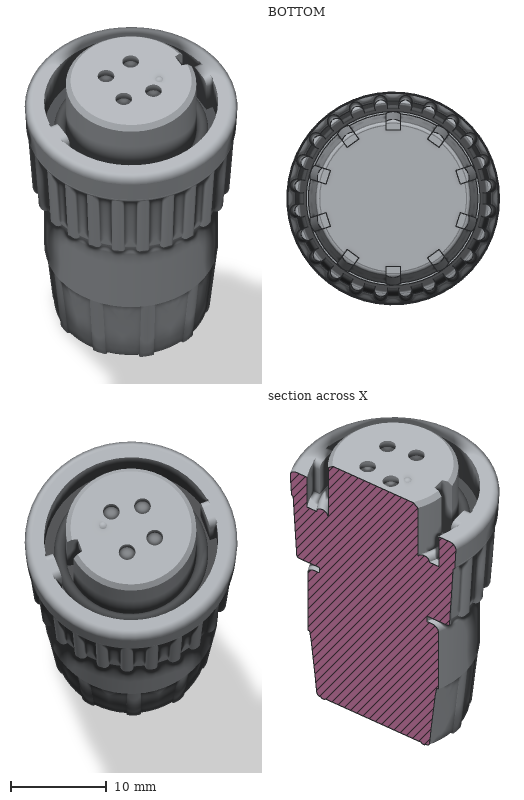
import cadquery as cq
import math


overall_height = 33.88
insert_top_z = 33.73
collar_top_z = 30.53
collar_bottom_z = 26.65
bore_floor_z = 26.3
knob_bottom_z = 18.44
body_top_z = 17.74
body_bottom_z = 8.8
grip_bottom_z = 0.15

body_radius = 9.08
body_edge_radius = 0.8
neck_radius = 7.79

grip_top_radius = 8.86
grip_bottom_radius = 8.03
grip_edge_radius = 0.4
grip_rib_count = 10
grip_rib_start_angle = -90
grip_rib_height = 0.2
grip_rib_width = 1.5
grip_rib_depth = 1.1
grip_rib_round = 1.55

collar_radius = 11.11
collar_lower_radius = 10.98
collar_top_round = 0.8
collar_under_round = 0.6
skirt_top_radius = 10.22
skirt_bottom_radius = 9.77
skirt_edge_radius = 0.4
knob_rib_count = 24
knob_rib_pitch = 360 / knob_rib_count
knob_rib_top_height = 0.65
knob_rib_bottom_height = 0.57
knob_rib_round = 0.69

bore_radius = 9.09
key_width = 2.9
key_inner_distance = 8.23
key_outer_distance = 9.07
key_round = 0.75

insert_radius = 6.82
insert_chamfer = 0.5
notch_outer_width = 2.0
notch_inner_width = 1.4
notch_floor_distance = 5.68
ring_outer_radius = 8.06
ring_round = (ring_outer_radius - insert_radius) / 2
contact_radius = 0.87
contact_depth = 0.85
upper_contact_x = 2.4
upper_contact_y = 1.32
lower_contact_x = 1.87
lower_contact_y = -1.95
marker_x = 1.26
marker_y = 2.66
marker_radius = 0.4


def cylinder(radius, bottom_z, top_z):
    return cq.Workplane("XY").workplane(offset=bottom_z).circle(radius).extrude(top_z - bottom_z)


def tapered_plug(bottom_radius, top_radius, bottom_z, top_z, edge_radius):
    """Solid cone frustum with a rounded bottom rim."""
    profile = (
        cq.Workplane("XZ")
        .moveTo(0, bottom_z)
        .lineTo(bottom_radius, bottom_z)
        .lineTo(top_radius, top_z)
        .lineTo(0, top_z)
        .close()
    )
    return profile.revolve(360, (0, 0), (0, 1)).faces("<Z").edges().fillet(edge_radius)


def rib_bar(bottom_crest, top_crest, bottom_z, top_z, round_radius):
    """Round-crested bar leaning with the cone, its crest running between the two crest radii."""
    run = top_crest - bottom_crest
    rise = top_z - bottom_z
    length = math.hypot(run, rise)
    crest_offset = round_radius * length / rise
    plane = cq.Plane(
        origin=(bottom_crest - crest_offset, 0, bottom_z),
        xDir=(0, 1, 0),
        normal=(run, 0, rise),
    )
    bar = cq.Workplane(plane).workplane(offset=-round_radius)
    return bar.circle(round_radius).extrude(length + 2 * round_radius)


def ribbed(core, envelope, bar, count, start_angle):
    """Core with evenly spaced ribs, each one trimmed to the envelope."""
    rib = bar.intersect(envelope)
    for index in range(count):
        angle = start_angle + index * 360 / count
        core = core.union(rib.rotate((0, 0, 0), (0, 0, 1), angle))
    return core


def make_body():
    body = cylinder(body_radius, body_bottom_z, body_top_z)
    body = body.faces(">Z").edges().fillet(body_edge_radius)
    return body.union(cylinder(neck_radius, body_bottom_z, knob_bottom_z + skirt_edge_radius))


def make_grip():
    crest_bottom = grip_bottom_radius + grip_rib_height
    crest_top = grip_top_radius + grip_rib_height
    core = tapered_plug(
        grip_bottom_radius, grip_top_radius, grip_bottom_z, body_bottom_z, grip_edge_radius
    )
    envelope = tapered_plug(crest_bottom, crest_top, 0, body_bottom_z, grip_edge_radius)
    bar = rib_bar(crest_bottom, crest_top, 0, body_bottom_z, grip_rib_round)
    limit = cq.Workplane("XY").box(
        crest_top, grip_rib_width, body_bottom_z, centered=(False, True, False)
    )
    bar = bar.intersect(limit.translate((crest_bottom - grip_rib_depth, 0, 0)))
    return ribbed(core, envelope, bar, grip_rib_count, grip_rib_start_angle)


def make_skirt():
    crest_bottom = skirt_bottom_radius + knob_rib_bottom_height
    crest_top = skirt_top_radius + knob_rib_top_height
    rib_top_z = collar_bottom_z + collar_under_round
    core = tapered_plug(
        skirt_bottom_radius, skirt_top_radius, knob_bottom_z, rib_top_z, skirt_edge_radius
    )
    envelope = tapered_plug(crest_bottom, crest_top, knob_bottom_z, rib_top_z, skirt_edge_radius)
    bar = rib_bar(crest_bottom, crest_top, knob_bottom_z, rib_top_z, knob_rib_round)
    return ribbed(core, envelope, bar, knob_rib_count, knob_rib_pitch / 2)


def make_collar():
    collar = (
        cq.Workplane("XZ")
        .moveTo(0, collar_bottom_z)
        .lineTo(collar_lower_radius - collar_under_round, collar_bottom_z)
        .radiusArc(
            (collar_lower_radius, collar_bottom_z + collar_under_round), -collar_under_round
        )
        .lineTo(collar_radius, collar_top_z - collar_top_round)
        .radiusArc((collar_radius - collar_top_round, collar_top_z), -collar_top_round)
        .lineTo(0, collar_top_z)
        .close()
    )
    return collar.revolve(360, (0, 0), (0, 1))


def key_block(outer_distance):
    """Block as tall as the bore, from the inner face of the +Y key out to the given distance."""
    block = cq.Workplane("XY").box(
        key_width,
        outer_distance - key_inner_distance,
        collar_top_z - bore_floor_z,
        centered=(True, False, False),
    )
    return block.translate((0, key_inner_distance, bore_floor_z))


def bore_space():
    """Open space of the bore, leaving two opposite keys with rounded top corners standing."""
    seat = key_block(key_outer_distance)
    key = key_block(collar_radius).edges("|Y and >Z").fillet(key_round)
    space = cylinder(bore_radius, bore_floor_z, collar_top_z)
    for angle in (0, 180):
        space = space.union(seat.rotate((0, 0, 0), (0, 0, 1), angle))
        space = space.cut(key.rotate((0, 0, 0), (0, 0, 1), angle))
    return space


def make_knob():
    return make_skirt().union(make_collar()).cut(bore_space())


def make_sealing_ring():
    """Half-buried ring filling the foot of the insert."""
    ring = cq.Workplane("XZ").center(insert_radius + ring_round, bore_floor_z).circle(ring_round)
    return ring.revolve(360, (-insert_radius - ring_round, 0), (-insert_radius - ring_round, 1))


def make_insert():
    insert = cylinder(insert_radius, bore_floor_z, insert_top_z)
    insert = insert.faces(">Z").edges().chamfer(insert_chamfer)
    notch = (
        cq.Workplane("XY")
        .workplane(offset=bore_floor_z)
        .moveTo(-notch_inner_width / 2, notch_floor_distance)
        .lineTo(notch_inner_width / 2, notch_floor_distance)
        .lineTo(notch_outer_width / 2, insert_radius)
        .lineTo(-notch_outer_width / 2, insert_radius)
        .close()
        .extrude(insert_top_z - bore_floor_z)
    )
    contact_points = [
        (side * x, y)
        for x, y in ((upper_contact_x, upper_contact_y), (lower_contact_x, lower_contact_y))
        for side in (-1, 1)
    ]
    contacts = (
        cq.Workplane("XY")
        .workplane(offset=insert_top_z - contact_depth)
        .pushPoints(contact_points)
        .circle(contact_radius)
        .extrude(contact_depth)
    )
    return insert.cut(notch).cut(contacts)


def make_marker():
    """Small domed dot on the face of the insert."""
    height = overall_height - insert_top_z
    sphere_radius = (marker_radius**2 + height**2) / (2 * height)
    center_z = overall_height - sphere_radius
    return cq.Workplane("XY").sphere(sphere_radius).translate((marker_x, marker_y, center_z))


result = make_body().union(make_grip()).union(make_knob())
result = result.union(make_insert()).union(make_sealing_ring()).union(make_marker())